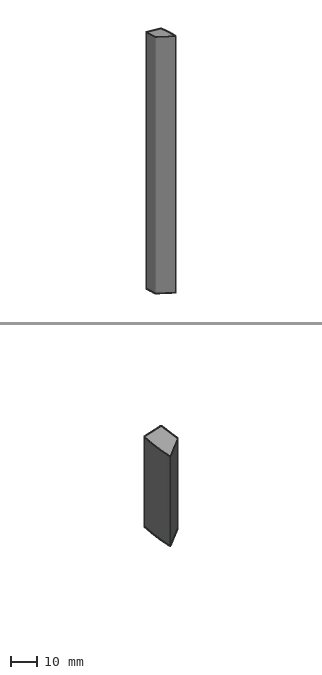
import cadquery as cq

length = 101.6
width = 12.7
depth = 7.9
crown_rise = 0.3
side_height = 1.0
shoulder_inset = 0.16
front_corner_width = 8.3
front_radius = 0.5
flank_hollow = 0.04

half_width = width / 2
half_front = front_corner_width / 2
back_corner_y = depth - crown_rise
shoulder_x = half_width - shoulder_inset
shoulder_y = back_corner_y - side_height
shoulder_middle_x = half_width - shoulder_inset / 4
shoulder_middle_y = back_corner_y - side_height / 2
flank_middle_x = (shoulder_x + half_front) / 2 - flank_hollow
flank_middle_y = shoulder_y / 2

section = (
    cq.Workplane("XY")
    .moveTo(-half_front, 0)
    .lineTo(half_front, 0)
    .threePointArc((flank_middle_x, flank_middle_y), (shoulder_x, shoulder_y))
    .threePointArc((shoulder_middle_x, shoulder_middle_y), (half_width, back_corner_y))
    .threePointArc((0, depth), (-half_width, back_corner_y))
    .threePointArc((-shoulder_middle_x, shoulder_middle_y), (-shoulder_x, shoulder_y))
    .threePointArc((-flank_middle_x, flank_middle_y), (-half_front, 0))
    .close()
)
bar = section.extrude(length)

result = bar.faces("<Y").edges("|Z").fillet(front_radius)